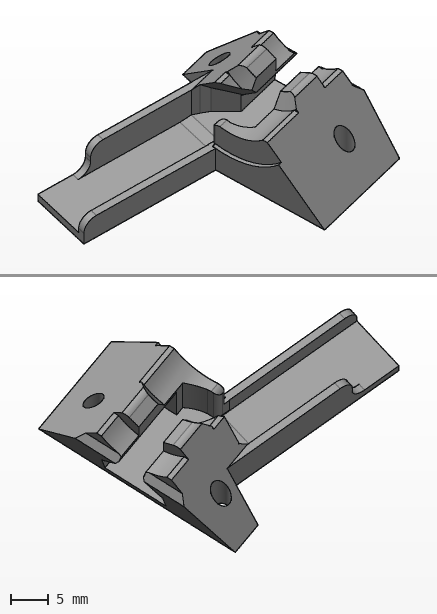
import cadquery as cq
import math

BODY_LEFT = 1.3
BODY_RIGHT = 33.55
MID_X = (BODY_LEFT + BODY_RIGHT) / 2
BODY_FRONT = 21.4
BODY_BACK = 39.52
WING_TOP = 10.0

BACK_FOOT = 37.85
BACK_LEAN_TOP = 7.2
BACK_CHAMFER = 1.03

RIDGE_TOP = 11.42
RIDGE_FRONT = 28.85
RIDGE_BACK = 34.6
RIDGE_SLOT_Z = 10.35
CREST_OUTER = 4.8
CREST_MIDDLE = 4.1
CREST_INNER = 3.6
CREST_INNER_Z = 11.25

BORE_Z = 15.55
BORE_RADIUS = 7.7
RIM_RADIUS = 11.55
RIM_DEPTH = 0.6
CONE_RADIUS = 5.57
CONE_LENGTH = 1.42

SLOT_HALF_WIDTH = 2.0
BAY_HALF_WIDTH = 4.98
BAY_FRONT = 26.1
BAY_FLOOR = 1.5
ROOF_OFFSET = 6.55

ARM_ANGLE = 15.0
ARM_WIDTH = 10.0
ARM_LEFT_Y = ARM_WIDTH * math.sin(math.radians(ARM_ANGLE))
ARM_FLOOR = 1.3
ARM_WALL = 1.15
LEFT_WALL_HEIGHT = 6.3
RIGHT_WALL_HEIGHT = 4.2
LEFT_WALL_START = 5.9
WALL_ROUND = 2.1
ARM_LENGTH = 29.4
RIGHT_WALL_LENGTH = 22.15
RAMP_START = 23.0
RAMP_END = 24.9

WING_END_X = 8.3
WING_END_Y = 27.3
WING_END_LEAN = 1.2
UNDERCUT_DEPTH = 1.15
UNDERCUT_BACK = 30.83

POST_LEFT = 14.4
POST_SHOULDER_Z = 7.25
POST_CREST_X = 16.25
POST_BACK = 23.5
POST_CORNER_RADIUS = 0.47
POST_TOP_MIDDLE = (14.85, 7.8)
POST_BACK_LEFT = 15.2
POST_BACK_MIDDLE = (14.7, 23.2)
POST_LEFT_START = (14.45, 22.53)
RIM_INSIDE_MIDDLE = (17.75, 23.87)
SLOT_FRONT = 24.7

HOLE_DIAMETER = 2.75
HOLE_CENTERS = [(6.45, 34.03), (28.45, 32.45)]

MARGIN = 1.98
CUT_TOP = RIDGE_TOP + MARGIN


def arm_point(across, along):
    """Plan position from distances across and along the arm."""
    angle = math.radians(ARM_ANGLE)
    x = across * math.cos(angle) + along * math.sin(angle)
    y = ARM_LEFT_Y - across * math.sin(angle) + along * math.cos(angle)
    return (x, y)


def along_y(profile, start, end):
    """Extrude a closed XZ wire between two Y positions."""
    return profile.extrude(start - end).translate((0, start, 0))


def xz():
    return cq.Workplane("XZ")


def y_cylinder(radius, start, end):
    return along_y(xz().center(MID_X, BORE_Z).circle(radius), start, end)


def arm_side(profile, across, thickness):
    """Extrude a wire drawn in (along, Z) across the arm, in its turned position."""
    solid = profile.extrude(thickness).translate((across, 0, 0))
    return solid.rotate((0, 0, 0), (0, 0, 1), -ARM_ANGLE).translate((0, ARM_LEFT_Y, 0))


def make_wings():
    wings = along_y(
        xz().polyline([
            (BODY_LEFT, 0),
            (BODY_RIGHT, 0),
            (BODY_RIGHT - WING_TOP, WING_TOP),
            (BODY_LEFT + WING_TOP, WING_TOP),
        ]).close(),
        BODY_FRONT, BODY_BACK,
    )
    wings = wings.cut(y_cylinder(BORE_RADIUS, BODY_FRONT, BODY_BACK))
    ridge = make_ridge()
    return wings.union(ridge).union(ridge.mirror("YZ", (MID_X, 0, 0)))


def make_ridge():
    crest_x = MID_X - CREST_OUTER
    ridge = along_y(
        xz().moveTo(BODY_LEFT + BAY_FLOOR, BAY_FLOOR)
        .lineTo(crest_x, crest_x - BODY_LEFT)
        .threePointArc((MID_X - CREST_MIDDLE, RIDGE_TOP), (MID_X - CREST_INNER, CREST_INNER_Z))
        .lineTo(MID_X - SLOT_HALF_WIDTH, RIDGE_SLOT_Z)
        .lineTo(MID_X - SLOT_HALF_WIDTH, BAY_FLOOR)
        .close(),
        RIDGE_FRONT, RIDGE_BACK,
    )
    lead_in = cq.Workplane(cq.Solid.makeCone(
        BORE_RADIUS, CONE_RADIUS, CONE_LENGTH,
        pnt=cq.Vector(MID_X, RIDGE_FRONT, BORE_Z), dir=cq.Vector(0, 1, 0),
    ))
    return ridge.cut(lead_in)


def make_side_envelope():
    """Side silhouette that gives the leaning back and its chamfer."""
    chamfer_y = BODY_BACK - BACK_CHAMFER
    return cq.Workplane("YZ").polyline([
        (BODY_FRONT, 0),
        (BACK_FOOT, 0),
        (BODY_BACK, BACK_LEAN_TOP),
        (chamfer_y, BACK_LEAN_TOP + BACK_CHAMFER),
        (chamfer_y, CUT_TOP),
        (BODY_FRONT, CUT_TOP),
    ]).close().extrude(BODY_RIGHT)


def make_plan_envelope():
    """Plan outline: the left wing ends square to the arm."""
    outer_corner = arm_point(0, ARM_LENGTH)
    wing_reach = (outer_corner[0] - BODY_LEFT) / math.cos(math.radians(ARM_ANGLE))
    return cq.Workplane("XY").polyline([
        (BODY_LEFT, BODY_BACK),
        arm_point(-wing_reach, ARM_LENGTH),
        outer_corner,
        arm_point(0, 0),
        arm_point(ARM_WIDTH, 0),
        arm_point(ARM_WIDTH, (BODY_FRONT - ARM_LEFT_Y) / math.cos(math.radians(ARM_ANGLE))
                  + ARM_WIDTH * math.tan(math.radians(ARM_ANGLE))),
        (BODY_RIGHT, BODY_FRONT),
        (BODY_RIGHT, BODY_BACK),
    ]).close().extrude(CUT_TOP)


def make_arm():
    side = cq.Workplane("YZ")
    floor = arm_side(side.polyline([
        (0, 0), (RAMP_END, 0), (RAMP_END, BAY_FLOOR), (RAMP_START, ARM_FLOOR), (0, ARM_FLOOR),
    ]).close(), 0, ARM_WIDTH)

    round_rise = WALL_ROUND * math.sqrt(0.5)
    round_rest = WALL_ROUND - round_rise
    wall_edge = LEFT_WALL_START + WALL_ROUND
    left_wall = arm_side(
        side.moveTo(LEFT_WALL_START, 0)
        .lineTo(LEFT_WALL_START, ARM_FLOOR)
        .threePointArc((LEFT_WALL_START + round_rise, ARM_FLOOR + round_rest),
                       (wall_edge, ARM_FLOOR + WALL_ROUND))
        .lineTo(wall_edge, LEFT_WALL_HEIGHT - WALL_ROUND)
        .threePointArc((wall_edge + round_rest, LEFT_WALL_HEIGHT - round_rest),
                       (wall_edge + WALL_ROUND, LEFT_WALL_HEIGHT))
        .lineTo(ARM_LENGTH, LEFT_WALL_HEIGHT)
        .lineTo(ARM_LENGTH, 0)
        .close(),
        0, ARM_WALL,
    )
    right_wall = arm_side(
        side.lineTo(0, RIGHT_WALL_HEIGHT - WALL_ROUND)
        .threePointArc((round_rest, RIGHT_WALL_HEIGHT - round_rest),
                       (WALL_ROUND, RIGHT_WALL_HEIGHT))
        .lineTo(RIGHT_WALL_LENGTH, RIGHT_WALL_HEIGHT)
        .lineTo(RIGHT_WALL_LENGTH, 0)
        .close(),
        ARM_WIDTH - ARM_WALL, ARM_WALL,
    )
    return floor.union(left_wall).union(right_wall)


def make_channel():
    """Open channel that runs from the arm into the slot between the wings."""
    slot_left = MID_X - SLOT_HALF_WIDTH
    slot_right = MID_X + SLOT_HALF_WIDTH
    channel = (
        cq.Workplane("XY").workplane(offset=BAY_FLOOR)
        .moveTo(*arm_point(ARM_WALL, 0))
        .lineTo(*arm_point(ARM_WALL, RAMP_END))
        .lineTo(WING_END_X, WING_END_Y)
        .lineTo(WING_END_X + UNDERCUT_DEPTH / WING_END_LEAN, WING_END_Y + UNDERCUT_DEPTH)
        .lineTo(MID_X - BAY_HALF_WIDTH, UNDERCUT_BACK)
        .lineTo(slot_left, UNDERCUT_BACK)
        .lineTo(slot_left, BODY_BACK + MARGIN)
        .lineTo(slot_right, BODY_BACK + MARGIN)
        .lineTo(slot_right, SLOT_FRONT)
        .threePointArc(RIM_INSIDE_MIDDLE, (POST_CREST_X, POST_BACK))
        .lineTo(POST_BACK_LEFT, POST_BACK)
        .threePointArc(POST_BACK_MIDDLE, POST_LEFT_START)
        .lineTo(*arm_point(ARM_WIDTH - ARM_WALL, 0))
        .close().extrude(CUT_TOP)
    )
    return channel.cut(make_wing_overhang())


def make_wing_overhang():
    """Space above the leaning end face, where the left wing reaches over the channel."""
    angle = math.radians(ARM_ANGLE)
    edge = cq.Vector(math.cos(angle), -math.sin(angle), math.cos(angle))
    down_face = cq.Vector(1, WING_END_LEAN, -1)
    corner = cq.Vector(WING_END_X, WING_END_Y, WING_END_X - BODY_LEFT)
    end_plane = cq.Plane(origin=corner, xDir=edge, normal=edge.cross(down_face))
    behind = cq.Workplane(end_plane).rect(2 * BODY_BACK, 2 * BODY_BACK).extrude(BODY_BACK)
    left_of_slot = cq.Workplane("XY").box(
        MID_X - SLOT_HALF_WIDTH, BODY_BACK, CUT_TOP, centered=False)
    return behind.intersect(left_of_slot)


def make_bay():
    """Tunnel under the wings whose roof runs parallel to their outer faces."""
    left = MID_X - BAY_HALF_WIDTH
    right = MID_X + BAY_HALF_WIDTH
    eave = left - BODY_LEFT - ROOF_OFFSET
    roof_rise = BAY_HALF_WIDTH - SLOT_HALF_WIDTH
    return along_y(
        xz().polyline([
            (left, BAY_FLOOR),
            (right, BAY_FLOOR),
            (right, eave),
            (right - roof_rise, eave + roof_rise),
            (left + roof_rise, eave + roof_rise),
            (left, eave),
        ]).close(),
        BAY_FRONT, BODY_BACK + MARGIN,
    )


def make_post_rounding():
    """Space above the post, whose top rolls over towards the channel."""
    crest_z = BORE_Z - math.sqrt(BORE_RADIUS ** 2 - (MID_X - POST_CREST_X) ** 2)
    return along_y(
        xz().moveTo(POST_LEFT, POST_SHOULDER_Z)
        .threePointArc(POST_TOP_MIDDLE, (POST_CREST_X, crest_z))
        .lineTo(POST_CREST_X, WING_TOP)
        .lineTo(POST_LEFT, WING_TOP)
        .close(),
        BODY_FRONT, POST_BACK,
    )


def make_post_corner():
    """Vertical cutter that rounds the front left edge of the post above the right wall."""
    front = BODY_FRONT + RIM_DEPTH
    corner_rest = POST_CORNER_RADIUS * (1 - math.sqrt(0.5))
    return (
        cq.Workplane("XY").workplane(offset=RIGHT_WALL_HEIGHT)
        .moveTo(POST_LEFT, front + POST_CORNER_RADIUS)
        .threePointArc((POST_LEFT + corner_rest, front + corner_rest),
                       (POST_LEFT + POST_CORNER_RADIUS, front))
        .lineTo(POST_LEFT + POST_CORNER_RADIUS, BODY_FRONT)
        .lineTo(POST_LEFT - POST_CORNER_RADIUS, BODY_FRONT)
        .lineTo(POST_LEFT - POST_CORNER_RADIUS, front + POST_CORNER_RADIUS)
        .close().extrude(CUT_TOP)
    )


body = make_wings().intersect(make_side_envelope()).intersect(make_plan_envelope())
body = body.cut(y_cylinder(RIM_RADIUS, BODY_FRONT, BODY_FRONT + RIM_DEPTH))
body = body.cut(make_channel()).cut(make_bay()).cut(make_post_rounding())
body = body.cut(make_post_corner())

ramp_relief = arm_side(
    cq.Workplane("YZ").polyline([
        (0, ARM_FLOOR), (RAMP_START, ARM_FLOOR), (RAMP_END, BAY_FLOOR), (0, BAY_FLOOR),
    ]).close(),
    ARM_WALL, ARM_WIDTH - 2 * ARM_WALL,
)
result = body.cut(ramp_relief).union(make_arm())

holes = cq.Workplane("XY").pushPoints(HOLE_CENTERS).circle(HOLE_DIAMETER / 2).extrude(CUT_TOP)
result = result.cut(holes)